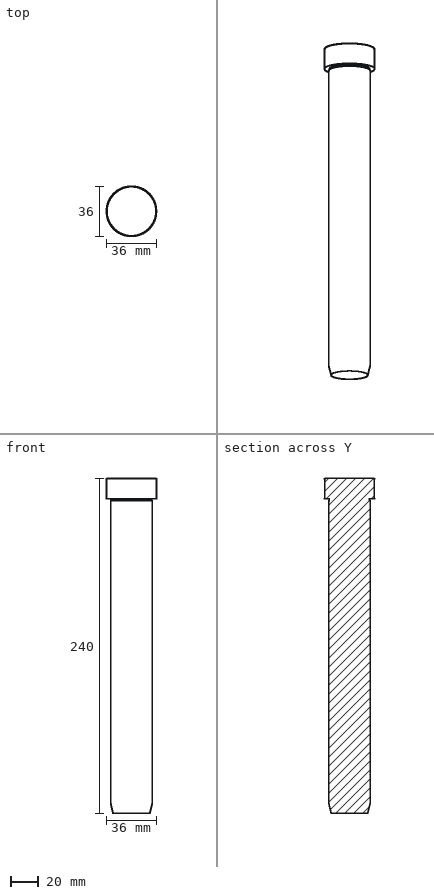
import cadquery as cq

total_length = 240.0
head_diameter = 36.0
head_height = 15.0
shaft_diameter = 30.0

taper_length = 7.2
tip_diameter = 26.5

head_chamfer = 0.5
groove_width = 1.5
groove_depth = 0.5
groove_floor_width = 0.7

head_radius = head_diameter / 2
shaft_radius = shaft_diameter / 2
tip_radius = tip_diameter / 2
groove_radius = shaft_radius - groove_depth
head_bottom = total_length - head_height

half_section = (
    cq.Workplane("XZ")
    .moveTo(0, 0)
    .lineTo(tip_radius, 0)
    .lineTo(shaft_radius, taper_length)
    .lineTo(shaft_radius, head_bottom - groove_width)
    .lineTo(groove_radius, head_bottom - groove_floor_width)
    .lineTo(groove_radius, head_bottom)
    .lineTo(head_radius, head_bottom)
    .lineTo(head_radius, total_length - head_chamfer)
    .lineTo(head_radius - head_chamfer, total_length)
    .lineTo(0, total_length)
    .close()
)
result = half_section.revolve(360, (0, 0, 0), (0, 1, 0))